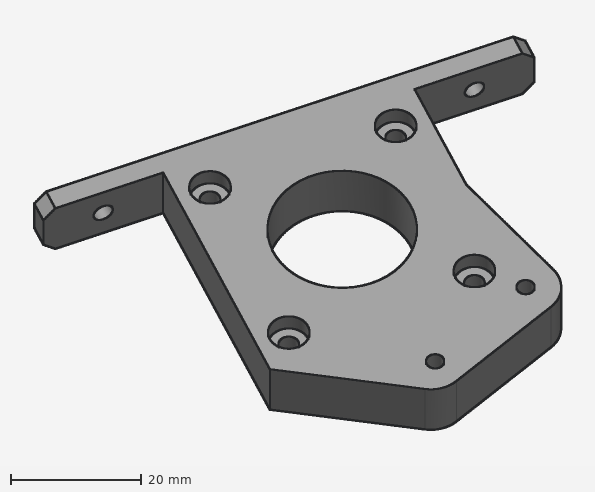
import cadquery as cq
import math


thickness = 10.0
overall_x = 59.36

body_width = 42.0
motor_bore_diameter = 23.0
motor_hole_spacing = 31.0
motor_hole_diameter = 3.2
head_recess_diameter = 6.4
head_recess_depth = 3.0

flange_length = 82.0
flange_thickness = 3.6
flange_chamfer = 2.0
flange_hole_spacing = 62.0
flange_hole_diameter = 3.2

arm_hole_diameter = 2.8
upper_arm_hole = (21.5, 21.5)
lower_arm_hole = (29.5, 3.0)
arm_corner_radius = 5.5
arm_start_x = -0.6
lower_corner_y = 2.4

body_half = body_width / 2
flange_inner_x = -body_half
flange_outer_x = flange_inner_x - flange_thickness
arm_end_x = flange_outer_x + overall_x
upper_corner = upper_arm_hole
lower_corner = (arm_end_x - arm_corner_radius, lower_corner_y)


def on_corner(center, angle):
    """Point of a rounded arm corner in the given direction (radians)."""
    return (
        center[0] + arm_corner_radius * math.cos(angle),
        center[1] + arm_corner_radius * math.sin(angle),
    )


def tangent_angle(point, center, side):
    """Direction from a corner centre to the tangent point of a line through the given point.

    side is +1 or -1 and picks one of the two possible tangents.
    """
    dx = point[0] - center[0]
    dy = point[1] - center[1]
    angle = math.atan2(dy, dx) + side * math.acos(arm_corner_radius / math.hypot(dx, dy))
    return math.remainder(angle, 2 * math.pi)


def make_plate():
    """Body and arm as one outline, with tangent edges between the arm corners."""
    arm_start = (arm_start_x, body_half)
    body_corner = (body_half, -body_half)

    rise = upper_corner[1] - lower_corner[1]
    run = upper_corner[0] - lower_corner[0]
    end_angle = math.atan2(rise, run) - math.pi / 2
    upper_angle = tangent_angle(arm_start, upper_corner, -1)
    lower_angle = tangent_angle(body_corner, lower_corner, 1)

    return (
        cq.Workplane("XY")
        .moveTo(flange_inner_x, -body_half)
        .lineTo(*body_corner)
        .lineTo(*on_corner(lower_corner, lower_angle))
        .threePointArc(
            on_corner(lower_corner, (lower_angle + end_angle) / 2),
            on_corner(lower_corner, end_angle),
        )
        .lineTo(*on_corner(upper_corner, end_angle))
        .threePointArc(
            on_corner(upper_corner, (upper_angle + end_angle) / 2),
            on_corner(upper_corner, upper_angle),
        )
        .lineTo(*arm_start)
        .lineTo(flange_inner_x, body_half)
        .close()
        .extrude(thickness)
    )


def make_flange():
    """Flat bar with its four end corners chamfered."""
    return (
        cq.Workplane("XY")
        .box(flange_thickness, flange_length, thickness, centered=(False, True, False))
        .edges("|X")
        .chamfer(flange_chamfer)
        .translate((flange_outer_x, 0, 0))
    )


def cut_motor_holes(part):
    """Central bore and four counterbored screw holes."""
    return (
        part.cut(cq.Workplane("XY").circle(motor_bore_diameter / 2).extrude(thickness))
        .copyWorkplane(cq.Workplane("XY", origin=(0, 0, thickness)))
        .rect(motor_hole_spacing, motor_hole_spacing, forConstruction=True)
        .vertices()
        .cboreHole(motor_hole_diameter, head_recess_diameter, head_recess_depth)
    )


def cut_arm_holes(part):
    """Two plain through holes in the arm."""
    holes = (
        cq.Workplane("XY")
        .pushPoints([upper_arm_hole, lower_arm_hole])
        .circle(arm_hole_diameter / 2)
        .extrude(thickness)
    )
    return part.cut(holes)


def cut_flange_holes(part):
    """Two holes along X through the flange."""
    holes = (
        cq.Workplane("YZ", origin=(flange_outer_x, 0, thickness / 2))
        .pushPoints([(-flange_hole_spacing / 2, 0), (flange_hole_spacing / 2, 0)])
        .circle(flange_hole_diameter / 2)
        .extrude(flange_thickness)
    )
    return part.cut(holes)


result = make_plate().union(make_flange())
result = cut_motor_holes(result)
result = cut_arm_holes(result)
result = cut_flange_holes(result)